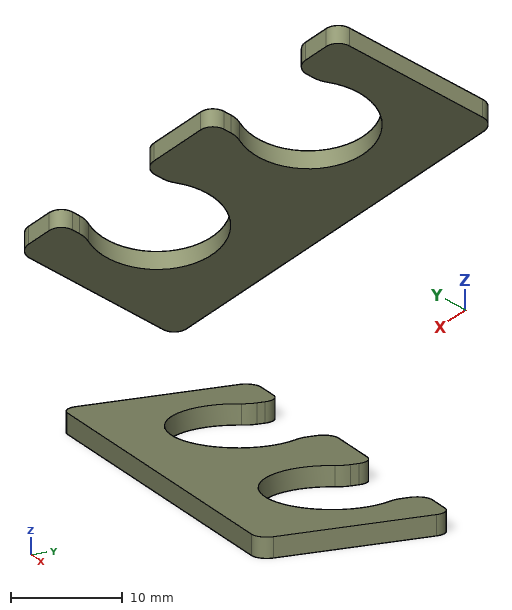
import cadquery as cq

length = 42.85
width = 19.05
thickness = 2.0
corner_radius = 1.5

socket_radius = 6.6
socket_spacing = 20.3
socket_setback = 6.7
mouth_width = 11.1
neck_radius = 3.0

neck_margin = 0.45

socket_y = width / 2 - socket_setback


def socket_cutter(center_x):
    """Round socket joined to a narrower mouth by blended necks."""
    round_seat = cq.Workplane("XY").center(center_x, socket_y).circle(socket_radius).extrude(thickness)
    mouth = (
        cq.Workplane("XY")
        .center(center_x, socket_y + socket_setback / 2)
        .rect(mouth_width, socket_setback)
        .extrude(thickness)
    )
    neck_edges = cq.selectors.BoxSelector(
        (center_x - socket_radius, socket_y + neck_margin, -neck_margin),
        (center_x + socket_radius, width / 2 - neck_margin, thickness + neck_margin),
    )
    return round_seat.union(mouth).edges("|Z").edges(neck_edges).fillet(neck_radius)


plate = cq.Workplane("XY").rect(length, width).extrude(thickness)
for side in (-1, 1):
    plate = plate.cut(socket_cutter(side * socket_spacing / 2))

result = plate.edges("|Z and (<Y or >Y)").fillet(corner_radius)